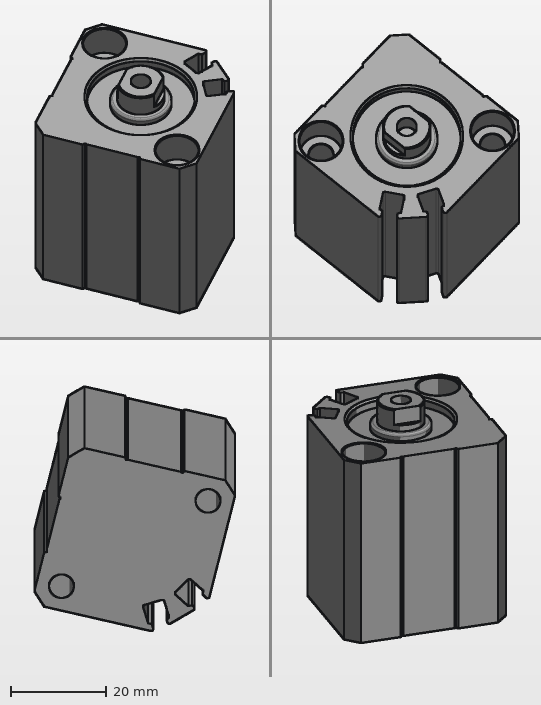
import cadquery as cq
import math

SIDE = 36.0
HALF = SIDE / 2
TOTAL_HEIGHT = 46
ROD_STANDOUT = 4.4
HOUSING_HEIGHT = TOTAL_HEIGHT - ROD_STANDOUT
CORNER_CUT = 2.8
SLOTTED_CORNER_CUT = 9.15

RECESS_HALF_WIDTH = 6.45
RECESS_DEPTH = 0.35
NOTCH_DEPTH = 0.5
NOTCH_TIP = 6.05
RECESS_FLOOR_HALF_WIDTH = 5.7

SLOT_ANGLES = (30, 60)
SLOT_FLOOR = 13.55
SLOT_HALF_WIDTH = 2.3
SLOT_MOUTH_HALF_WIDTH = 1.6
LIP_START = 17.65
LIP_ANGLE = 30
SLOT_END = 23
SLOT_ROUND = 0.45

HOLE_OFFSET = 12.75
HOLE_DIAMETER = 5.2
HOLE_CHAMFER = 0.1
COUNTERBORE_DIAMETER = 9.0
COUNTERBORE_DEPTH = 7.0
COUNTERBORE_CHAMFER = 0.2

POCKET_DIAMETER = 22.65
POCKET_DEPTH = 2.1
POCKET_CHAMFER = 0.5
COLLAR_DIAMETER = 12.93
COLLAR_HEIGHT = 1.55
COLLAR_ROUND = 0.55

ROD_DIAMETER = 10.0
ROD_CHAMFER = 0.25
FLATS_WIDTH = 8.0
FLATS_LENGTH = 3.55
ROD_HOLE_DIAMETER = 4.2
ROD_HOLE_DEPTH = 4.6

POCKET_FLOOR = HOUSING_HEIGHT - POCKET_DEPTH


def cylinder(diameter, bottom, top, x=0, y=0):
    disc = cq.Workplane("XY", origin=(x, y, bottom)).circle(diameter / 2)
    return disc.extrude(top - bottom)


def chamfered_bore(diameter, bottom, top, chamfer, x=0, y=0):
    """Tool for a bore whose mouth at the top is widened by a 45 degree chamfer."""
    mouth = cq.Workplane("XY", origin=(x, y, top)).circle(diameter / 2 + chamfer)
    cone = mouth.extrude(-chamfer, taper=45)
    return cylinder(diameter, bottom, top, x, y).union(cone)


def block():
    outline = [
        (-HALF + CORNER_CUT, -HALF),
        (HALF - CORNER_CUT, -HALF),
        (HALF, -HALF + CORNER_CUT),
        (HALF, HALF - SLOTTED_CORNER_CUT),
        (HALF - SLOTTED_CORNER_CUT, HALF),
        (-HALF + CORNER_CUT, HALF),
        (-HALF, HALF - CORNER_CUT),
        (-HALF, -HALF + CORNER_CUT),
    ]
    return cq.Workplane("XY").polyline(outline).close().extrude(HOUSING_HEIGHT)


def side_recess():
    """Cutter for the recess on the -Y side."""
    outline = [
        (-RECESS_HALF_WIDTH, -HALF),
        (-NOTCH_TIP, -HALF + NOTCH_DEPTH),
        (-RECESS_FLOOR_HALF_WIDTH, -HALF + RECESS_DEPTH),
        (RECESS_FLOOR_HALF_WIDTH, -HALF + RECESS_DEPTH),
        (NOTCH_TIP, -HALF + NOTCH_DEPTH),
        (RECESS_HALF_WIDTH, -HALF),
    ]
    return cq.Workplane("XY").polyline(outline).close().extrude(HOUSING_HEIGHT)


def sensor_slot():
    """Cutter for a slot along +X, with lips that narrow its mouth and rounded floor corners."""
    lip_rise = (SLOT_HALF_WIDTH - SLOT_MOUTH_HALF_WIDTH) * math.tan(math.radians(LIP_ANGLE))
    lip_end = LIP_START + lip_rise
    outline = [
        (SLOT_FLOOR, -SLOT_HALF_WIDTH),
        (LIP_START, -SLOT_HALF_WIDTH),
        (lip_end, -SLOT_MOUTH_HALF_WIDTH),
        (SLOT_END, -SLOT_MOUTH_HALF_WIDTH),
        (SLOT_END, SLOT_MOUTH_HALF_WIDTH),
        (lip_end, SLOT_MOUTH_HALF_WIDTH),
        (LIP_START, SLOT_HALF_WIDTH),
        (SLOT_FLOOR, SLOT_HALF_WIDTH),
    ]
    slot = cq.Workplane("XY").polyline(outline).close().extrude(HOUSING_HEIGHT)
    return slot.faces("<X").edges("|Z").fillet(SLOT_ROUND)


def mouth_corners():
    """Plan points where the slot walls meet the +Y side, the slotted corner and the +X side."""
    angle = math.radians(max(SLOT_ANGLES))
    side_x = (HALF * math.cos(angle) - SLOT_MOUTH_HALF_WIDTH) / math.sin(angle)

    diagonal_sum = SIDE - SLOTTED_CORNER_CUT
    along = diagonal_sum - SLOT_MOUTH_HALF_WIDTH * (math.sin(angle) - math.cos(angle))
    along /= math.cos(angle) + math.sin(angle)
    diagonal_x = along * math.cos(angle) + SLOT_MOUTH_HALF_WIDTH * math.sin(angle)
    corners = [(side_x, HALF), (diagonal_x, diagonal_sum - diagonal_x)]
    mirrored = [(y, x) for x, y in corners]
    return corners + mirrored


def build_housing():
    body = block()
    for turn in (0, -90):
        body = body.cut(side_recess().rotate((0, 0, 0), (0, 0, 1), turn))

    for angle in SLOT_ANGLES:
        body = body.cut(sensor_slot().rotate((0, 0, 0), (0, 0, 1), angle))
    for x, y in mouth_corners():
        nearest = cq.selectors.NearestToPointSelector((x, y, HOUSING_HEIGHT / 2))
        body = body.edges("|Z").edges(nearest).fillet(SLOT_ROUND)

    counterbore_floor = HOUSING_HEIGHT - COUNTERBORE_DEPTH
    for x, y in ((-HOLE_OFFSET, HOLE_OFFSET), (HOLE_OFFSET, -HOLE_OFFSET)):
        body = body.cut(chamfered_bore(HOLE_DIAMETER, 0, counterbore_floor, HOLE_CHAMFER, x, y))
        counterbore = chamfered_bore(
            COUNTERBORE_DIAMETER, counterbore_floor, HOUSING_HEIGHT, COUNTERBORE_CHAMFER, x, y
        )
        body = body.cut(counterbore)

    body = body.cut(chamfered_bore(POCKET_DIAMETER, POCKET_FLOOR, HOUSING_HEIGHT, POCKET_CHAMFER))
    collar = cylinder(COLLAR_DIAMETER, POCKET_FLOOR, POCKET_FLOOR + COLLAR_HEIGHT)
    collar = collar.faces(">Z").edges().fillet(COLLAR_ROUND)
    body = body.union(collar)

    rod_seat = cylinder(ROD_DIAMETER, POCKET_FLOOR, HOUSING_HEIGHT)
    return body.cut(rod_seat)


def build_rod():
    rod = cylinder(ROD_DIAMETER, POCKET_FLOOR, TOTAL_HEIGHT)
    rod = rod.faces(">Z").edges().chamfer(ROD_CHAMFER)

    flats_bottom = TOTAL_HEIGHT - FLATS_LENGTH
    between_flats = cq.Workplane("XY", origin=(0, 0, flats_bottom)).rect(FLATS_WIDTH, ROD_DIAMETER)
    outside_flats = cylinder(2 * ROD_DIAMETER, flats_bottom, TOTAL_HEIGHT)
    outside_flats = outside_flats.cut(between_flats.extrude(FLATS_LENGTH))
    rod = rod.cut(outside_flats)

    return rod.cut(cylinder(ROD_HOLE_DIAMETER, TOTAL_HEIGHT - ROD_HOLE_DEPTH, TOTAL_HEIGHT))


housing = build_housing()
rod = build_rod()
result = cq.Compound.makeCompound([housing.val(), rod.val()])